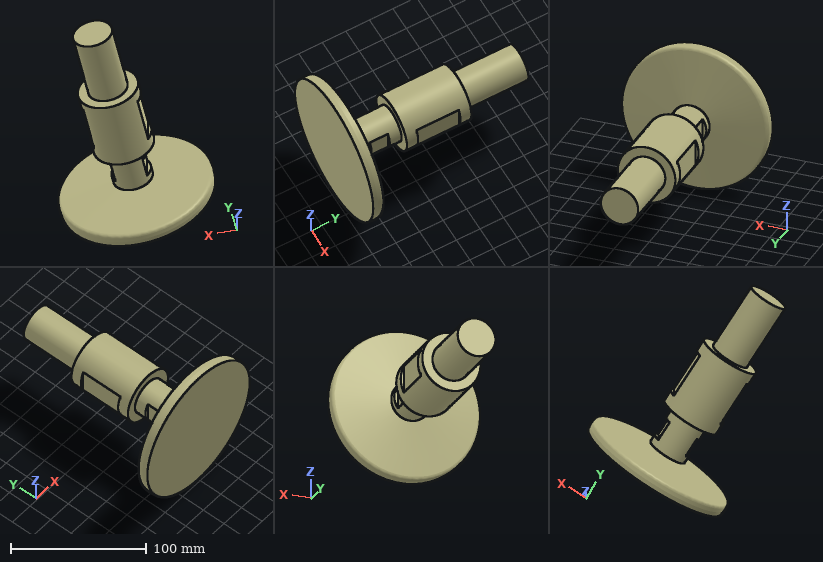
import cadquery as cq

total_length = 157.0

spindle_diameter = 30.0
spindle_flat_start = 23.5
spindle_flat_length = 15.4
spindle_across_flats = 24.0

rim_diameter = 118.0
rim_height = 4.1
base_diameter = 117.1
shoulder_diameter = 117.5
shoulder_height = 9.4
shoulder_radius = 3.0
cone_height = 17.3

sleeve_diameter = 46.0
sleeve_start = 49.0
sleeve_length = 55.0
sleeve_across_flats = 41.0
sleeve_flat_length = 36.0
sleeve_flat_start = sleeve_start + (sleeve_length - sleeve_flat_length) / 2


def cylinder_along_y(diameter, start, length):
    return cq.Workplane("XZ", origin=(0, start, 0)).circle(diameter / 2).extrude(-length)


def cut_flats(body, diameter, across_flats, start, length):
    """Cut two opposite wrench flats, facing -X and +X, into a round body."""
    band = cq.Workplane("XY").box(diameter, length, diameter)
    kept_core = cq.Workplane("XY").box(across_flats, length, diameter)
    waste = band.cut(kept_core).translate((0, start + length / 2, 0))
    return body.cut(waste)


def make_foot_plate():
    """Revolve the tapered rim and cone, then round the shoulder between them."""
    plate = (
        cq.Workplane("XY")
        .lineTo(base_diameter / 2, 0)
        .lineTo(rim_diameter / 2, rim_height)
        .lineTo(shoulder_diameter / 2, shoulder_height)
        .lineTo(spindle_diameter / 2, cone_height)
        .lineTo(0, cone_height)
        .close()
        .revolve(360, (0, 0, 0), (0, 1, 0))
    )
    shoulder_edge = cq.selectors.BoxSelector(
        (-rim_diameter, shoulder_height - shoulder_radius / 2, -rim_diameter),
        (rim_diameter, shoulder_height + shoulder_radius / 2, rim_diameter),
        boundingbox=True,
    )
    return plate.edges(shoulder_edge).fillet(shoulder_radius)


def make_spindle_foot():
    """Foot plate and spindle in one piece, with wrench flats near the plate."""
    spindle = cylinder_along_y(spindle_diameter, cone_height, total_length - cone_height)
    spindle = cut_flats(
        spindle, spindle_diameter, spindle_across_flats, spindle_flat_start, spindle_flat_length
    )
    return make_foot_plate().union(spindle)


def make_sleeve():
    """Sleeve bored to the spindle diameter, with its own wrench flats."""
    sleeve = cylinder_along_y(sleeve_diameter, sleeve_start, sleeve_length)
    sleeve = sleeve.cut(cylinder_along_y(spindle_diameter, sleeve_start, sleeve_length))
    return cut_flats(
        sleeve, sleeve_diameter, sleeve_across_flats, sleeve_flat_start, sleeve_flat_length
    )


spindle_foot = make_spindle_foot()
sleeve = make_sleeve()

result = cq.Compound.makeCompound([spindle_foot.solids().val(), sleeve.solids().val()])